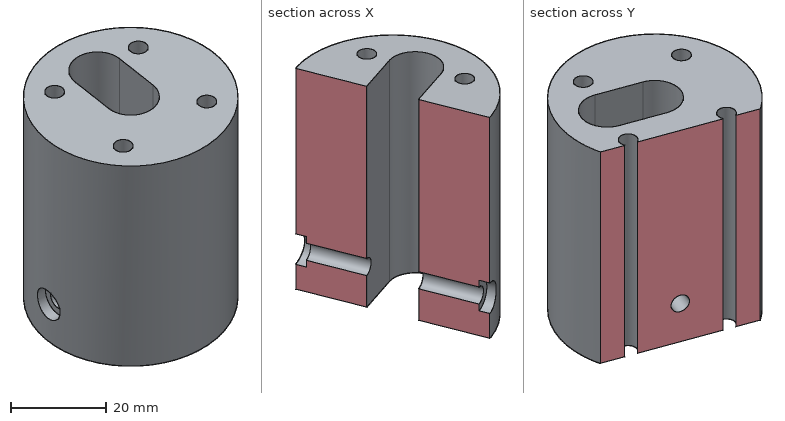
import cadquery as cq

body_diameter = 45.0
body_height = 55.0
body_radius = body_diameter / 2

hole_diameter = 4.1
hole_spacing = 22.65

slot_width = 12.0
slot_center_distance = 11.0
slot_length = slot_center_distance + slot_width

cross_hole_height = 10.0
counterbore_diameter = 7.5
counterbore_depth = 2.5


def cross_cylinder(diameter, start_y, length):
    """Cylinder along +Y at the cross hole height."""
    return cq.Workplane(
        cq.Solid.makeCylinder(
            diameter / 2, length, cq.Vector(0, start_y, cross_hole_height), cq.Vector(0, 1, 0)
        )
    )


body = cq.Workplane("XY").circle(body_radius).extrude(body_height)

axial_holes = (
    cq.Workplane("XY")
    .rect(hole_spacing, hole_spacing, forConstruction=True)
    .vertices()
    .circle(hole_diameter / 2)
    .extrude(body_height)
)

slot = (
    cq.Workplane("XY")
    .center(-slot_center_distance / 2, 0)
    .slot2D(slot_length, slot_width)
    .extrude(body_height)
)

result = body.cut(axial_holes).cut(slot)
result = result.cut(cross_cylinder(hole_diameter, -body_radius, body_diameter))
for counterbore_start in (-body_radius, body_radius - counterbore_depth):
    result = result.cut(cross_cylinder(counterbore_diameter, counterbore_start, counterbore_depth))